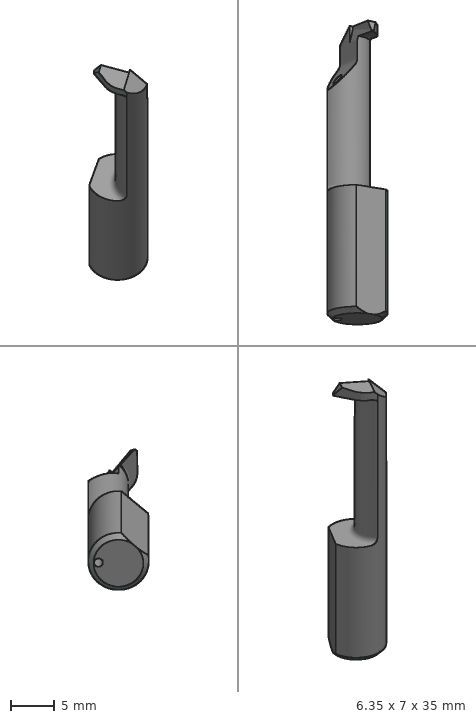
import cadquery as cq
import math

length = 35.0
shank_radius = 3.5
flat_x = -2.85
shank_top = 15.05
end_chamfer = 0.63

neck_radius = 3.1
neck_left = -0.15
neck_x = neck_left + neck_radius
base_fillet = 0.75
meet_x = (neck_x**2 + shank_radius**2 - neck_radius**2) / (2 * neck_x)
meet_y = math.sqrt(shank_radius**2 - meet_x**2)

relief_y = 0.1
relief_start = 27.05
relief_end = 30.45
relief_blend = 1.3

tip_x = -2.75
head_under_z = 33.5
under_angle = 7.5
top_angle = 2.0
straight_end = (-1.0, -2.03)
arc_middle = (-0.15, -2.65)
arc_end = (1.15, -meet_y)
tip_back_y = -0.42
flank_low_z = 33.7
flank_top_x = -1.95
flank_skew = 4.0
head_fillet = 0.28

rake_tip_y = -0.07
rake_inner = (1.45, -0.3)
rake_bottom = 33.08
runout_angle = 75.0

slope_start_x = 1.47
slope_drop = 1.92
hole_diameter = 1.0
hole_center = (1.47, 1.8)

reach = 2 * shank_radius
above_top = length + 0.35


def make_shank():
    shank = cq.Workplane("XY").circle(shank_radius).extrude(shank_top)
    shank = shank.faces("<Z").chamfer(end_chamfer)
    flat = cq.Workplane("XY").box(reach, 2 * reach, length, centered=(False, True, False))
    return shank.cut(flat.translate((flat_x - reach, 0, 0)))


def make_neck():
    """Eccentric column with a flared base and the relief flat."""
    flare_mid = base_fillet * (1 - math.sqrt(0.5))
    profile = (
        cq.Workplane("XZ")
        .lineTo(neck_radius + base_fillet, 0)
        .lineTo(neck_radius + base_fillet, shank_top)
        .threePointArc(
            (neck_radius + flare_mid, shank_top + flare_mid),
            (neck_radius, shank_top + base_fillet),
        )
        .lineTo(neck_radius, length)
        .lineTo(0, length)
        .close()
    )
    column = profile.revolve(360, (0, 0), (0, 1)).translate((neck_x, 0, 0))
    bar = cq.Workplane("XY").circle(shank_radius).extrude(length)
    upper = cq.Workplane("XY").workplane(offset=shank_top).rect(4 * reach, 4 * reach).extrude(length)
    relief = (
        cq.Workplane("YZ")
        .moveTo(relief_y, length)
        .lineTo(relief_y, relief_end)
        .lineTo(meet_y, relief_start)
        .lineTo(reach, relief_start)
        .lineTo(reach, length)
        .close()
        .extrude(reach, both=True)
        .edges(cq.selectors.NearestToPointSelector((0, relief_y, relief_end)))
        .fillet(relief_blend)
    )
    return column.intersect(bar).intersect(upper).cut(relief)


def make_head():
    """Hooked tooth with clearance under, behind and in front of its edge."""
    outline = (
        cq.Workplane("XY")
        .moveTo(tip_x, relief_y)
        .lineTo(tip_x, tip_back_y)
        .lineTo(*straight_end)
        .threePointArc(arc_middle, arc_end)
        .lineTo(meet_x, -meet_y)
        .lineTo(meet_x, relief_y)
        .close()
        .extrude(length)
    )
    under_rise = reach * math.tan(math.radians(under_angle))
    top_drop = reach * math.tan(math.radians(top_angle))
    side = (
        cq.Workplane("YZ")
        .moveTo(relief_y, head_under_z)
        .lineTo(0, head_under_z)
        .lineTo(-reach, head_under_z + under_rise)
        .lineTo(-reach, length - top_drop)
        .lineTo(0, length)
        .lineTo(relief_y, length)
        .close()
        .extrude(reach, both=True)
    )
    flank = (
        cq.Workplane("XZ")
        .moveTo(tip_x, flank_low_z)
        .lineTo(flank_top_x, length)
        .lineTo(flank_top_x, above_top)
        .lineTo(tip_x - reach, above_top)
        .lineTo(tip_x - reach, flank_low_z)
        .close()
        .extrude(reach, both=True)
        .rotate((tip_x, 0, 0), (tip_x, 0, 1), flank_skew)
    )
    return outline.intersect(side).cut(flank)


def make_rake_recess():
    recess = (
        cq.Workplane("XY")
        .moveTo(flat_x, rake_tip_y)
        .lineTo(*rake_inner)
        .lineTo(rake_inner[0], reach)
        .lineTo(flat_x, reach)
        .close()
        .extrude(above_top)
    )
    floor_depth = relief_y - rake_inner[1]
    floor_rise = floor_depth * math.tan(math.radians(runout_angle))
    above_floor = (
        cq.Workplane("YZ")
        .moveTo(reach, rake_bottom)
        .lineTo(relief_y, rake_bottom)
        .lineTo(rake_inner[1], rake_bottom + floor_rise)
        .lineTo(rake_inner[1], above_top)
        .lineTo(reach, above_top)
        .close()
        .extrude(reach, both=True)
    )
    return recess.intersect(above_floor)


def make_end_slope():
    return (
        cq.Workplane("XZ")
        .moveTo(slope_start_x, length)
        .lineTo(shank_radius, length - slope_drop)
        .lineTo(reach, length - slope_drop)
        .lineTo(reach, length)
        .close()
        .extrude(reach, both=True)
    )


def make_rear_top_trim():
    """Lowers the neck's end face to follow the sloping top of the head."""
    drop = reach * math.tan(math.radians(top_angle))
    return (
        cq.Workplane("YZ")
        .moveTo(0, length)
        .lineTo(-reach, length - drop)
        .lineTo(-reach, length)
        .close()
        .extrude(reach, both=True)
    )


result = make_shank().union(make_neck()).union(make_head())

underside_joint = cq.selectors.BoxSelector(
    (neck_left, -meet_y, head_under_z), (meet_x, 0, length - 0.7), boundingbox=False
)
result = result.edges("%ELLIPSE").edges(underside_joint).edges(">X").fillet(head_fillet)
result = result.cut(make_rake_recess()).cut(make_end_slope()).cut(make_rear_top_trim())
hole = cq.Workplane("XY").center(*hole_center).circle(hole_diameter / 2).extrude(length)
result = result.cut(hole)